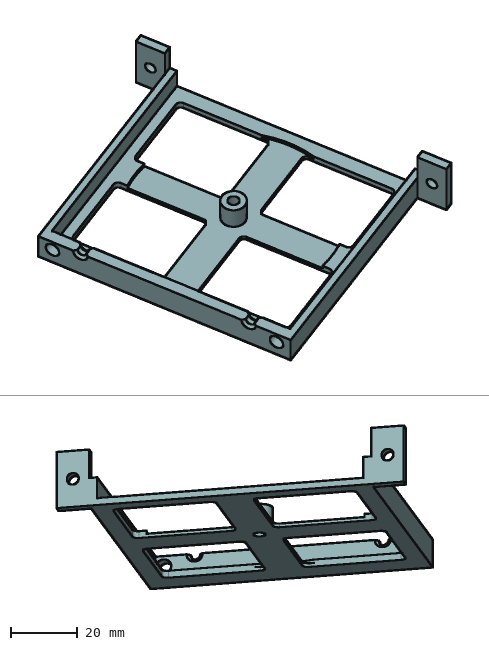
import cadquery as cq

body_width = 87.0
body_length = 80.0
wall_height = 8.8
side_wall = 2.5
front_wall = 4.0
floor_thickness = 2.2
inner_width = body_width - 2 * side_wall
inner_length = body_length - front_wall

ear_width = 10.0
ear_thickness = 3.0
ear_height = 17.8
ear_hole_diameter = 3.6

window_span_x = 75.0
window_span_y = 65.6
rib_width_x = 11.6
rib_width_y = 10.4
window_corner_radius = 1.6

recess_diameter = 68.0
rib_thickness = 1.2
boss_diameter = 8.0
boss_height = 8.4
boss_hole_diameter = 3.6

front_hole_diameter = 4.64
front_hole_spacing = 77.2
front_hole_height = 5.4
notch_spacing = 58.0
notch_mouth_diameter = 5.0
notch_chamfer = 1.0

back_y = inner_length / 2
front_y = back_y - body_length


def block(width, length, height, center_x, min_y, min_z=0.0):
    """Box centred on center_x that starts at min_y and min_z."""
    box = cq.Workplane("XY").box(width, length, height, centered=(True, False, False))
    return box.translate((center_x, min_y, min_z))


def cylinder_along_y(diameter, length, x, min_y, z):
    """Cylinder that runs from min_y toward +Y."""
    start = cq.Vector(x, min_y, z)
    return cq.Workplane(cq.Solid.makeCylinder(diameter / 2, length, start, cq.Vector(0, 1, 0)))


def make_tray():
    outside = block(body_width, body_length, wall_height, 0, front_y)
    cavity = block(inner_width, inner_length, wall_height, 0, -back_y, floor_thickness)
    return outside.cut(cavity)


def make_ear(side):
    center_x = side * (body_width + ear_width) / 2
    min_y = back_y - ear_thickness
    ear = block(ear_width, ear_thickness, ear_height, center_x, min_y)
    hole = cylinder_along_y(ear_hole_diameter, ear_thickness, center_x, min_y, ear_height / 2)
    return ear.cut(hole)


def make_windows():
    width = (window_span_x - rib_width_x) / 2
    length = (window_span_y - rib_width_y) / 2
    pitch_x = width + rib_width_x
    pitch_y = length + rib_width_y
    windows = cq.Workplane("XY").rarray(pitch_x, pitch_y, 2, 2).rect(width, length)
    return windows.extrude(floor_thickness).edges("|Z").fillet(window_corner_radius)


def make_recess():
    disc = cq.Workplane("XY").workplane(offset=rib_thickness).circle(recess_diameter / 2)
    return disc.extrude(floor_thickness - rib_thickness)


def make_notch(x):
    """Half-round notch in the top of the front wall, chamfered at both mouths."""
    mouth_radius = notch_mouth_diameter / 2
    throat_radius = mouth_radius - notch_chamfer
    profile = (
        cq.Workplane("XY")
        .moveTo(0, front_y)
        .lineTo(mouth_radius, front_y)
        .lineTo(throat_radius, front_y + notch_chamfer)
        .lineTo(throat_radius, -back_y - notch_chamfer)
        .lineTo(mouth_radius, -back_y)
        .lineTo(0, -back_y)
        .close()
    )
    return profile.revolve(360, (0, 0), (0, 1)).translate((x, 0, wall_height))


result = make_tray().cut(make_windows()).cut(make_recess())
boss = cq.Workplane("XY").circle(boss_diameter / 2).extrude(boss_height)
boss_hole = cq.Workplane("XY").circle(boss_hole_diameter / 2).extrude(boss_height)
result = result.union(boss).cut(boss_hole)

for side in (-1, 1):
    result = result.union(make_ear(side))
    front_hole_x = side * front_hole_spacing / 2
    result = result.cut(
        cylinder_along_y(front_hole_diameter, front_wall, front_hole_x, front_y, front_hole_height)
    )
    result = result.cut(make_notch(side * notch_spacing / 2))